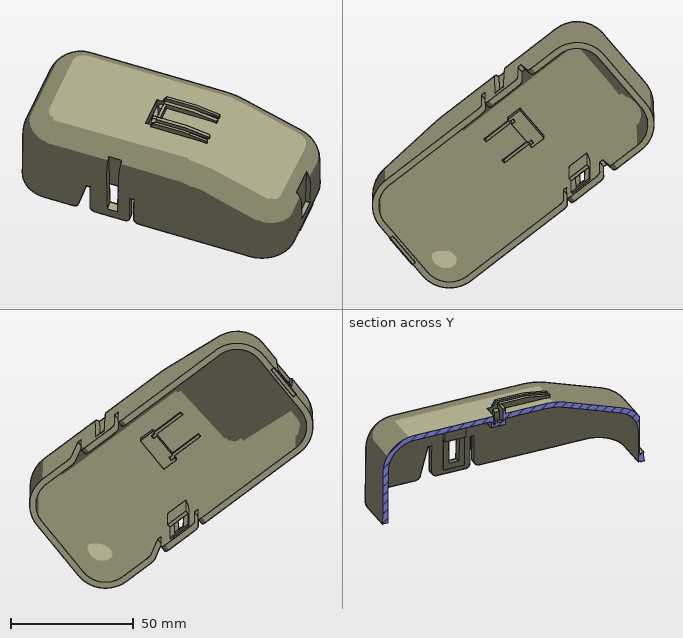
import cadquery as cq
import math

TOTAL_LENGTH = 117.5
TOTAL_WIDTH = 55.5
SHELL_HEIGHT = 38.8
LIP_PROJECTION = 0.2
EDGE_RADIUS = 14.0
WALL = 2.6
BEND_START_X = 72.7
ROOF_BEND_RADIUS = 29.0
SLOPE_ANGLE = 20.0
DRAFT_ANGLE = 0.4

HALF_WIDTH = TOTAL_WIDTH / 2
BODY_LENGTH = TOTAL_LENGTH - LIP_PROJECTION
SLOPE = math.radians(SLOPE_ANGLE)


def bend_point(inset, angle):
    """XZ point on the roof bend, moved in by the inset, at an angle from vertical."""
    radius = ROOF_BEND_RADIUS - inset
    center_z = SHELL_HEIGHT - ROOF_BEND_RADIUS
    return (BEND_START_X + radius * math.sin(angle), center_z + radius * math.cos(angle))


NOTCH_TOP_Z = 14.8
TAB_START_X = 33.7
TAB_END_X = 51.0
FRONT_NOTCH_TOP_X = 32.1
FRONT_NOTCH_BOTTOM_X = 28.2
REAR_NOTCH_END_X = 52.8
NOTCH_CORNER_RADIUS = 2.4
REAR_EDGE_LIFT = 0.2

SIDE_SLOT_X = 43.5
SIDE_SLOT_TOP_WIDTH = 5.5
SIDE_SLOT_BOTTOM_WIDTH = 4.3
SIDE_SLOT_DEPTH = 3.3
SLOT_SILL_Z = 4.2
SILL_RISE = 0.8
SIDE_SLOT_TOP_Z = 33.7
WINDOW_TOP_Z = 16.5
BACKING_DEPTH = 4.7
PAD_LENGTH = 9.4
PAD_BOTTOM_Z = 2.4
PAD_TOP_Z = 31.7

END_SLOT_TOP_WIDTH = 11.5
END_SLOT_BOTTOM_WIDTH = 8.9
END_SLOT_DEPTH = 2.0
END_SLOT_TOP_Z = 22.1
LIP_WIDTH = 14.6
LIP_THICKNESS = 1.6
LIP_HEIGHT = 0.4

RAIL_HEIGHT = 2.5
RAIL_ROOT = 1.2
OUTER_RAIL_START_X = 52.4
RAIL_TOP_START_X = 53.9
RAIL_SLOPE_X = 66.9
RAIL_END_X = 77.0
RAIL_END_HEIGHT = 0.8
OUTER_RAIL_Y = (6.6, 7.6)
INNER_RAIL_Y = (3.8, 5.2)
THROUGH_SLOT_X = (53.5, 68.6)
CROSS_WALL_END_X = 55.2
CROSS_WALL_DROP = 0.1
RECESS_START_X = 49.9
RECESS_DEPTH = 4.2
RECESS_WALL = 1.2
RECESS_BAR_WIDTH = 1.9
RECESS_BAR_START_X = 50.3
RECESS_BAR_DROP = 3.5
PEG_START_X = 51.7
PEG_INNER_Y = 2.9
PEG_DROP = 0.2
RAIL_TOP_Z = SHELL_HEIGHT + RAIL_HEIGHT
RAIL_ROOT_Z = SHELL_HEIGHT - RAIL_ROOT

SIDES = (-1, 1)


def box(x_range, y_range, z_range):
    """Axis-aligned box from its limits, given in either order."""
    lows = [min(limits) for limits in (x_range, y_range, z_range)]
    sizes = [abs(limits[1] - limits[0]) for limits in (x_range, y_range, z_range)]
    return cq.Workplane("XY").box(*sizes, centered=False).translate(tuple(lows))


def prism_y(profile, y_range):
    """Extrude a closed XZ profile between two Y positions."""
    return profile.extrude(-abs(y_range[1] - y_range[0])).translate((0, min(y_range), 0))


def rounded_body(inset):
    """Drafted block with a sloping rear, all its upper edges and corners rounded."""
    radius = EDGE_RADIUS - inset
    top_z = SHELL_HEIGHT - inset
    slope_start = bend_point(inset, SLOPE)
    slope_end_x = BODY_LENGTH + EDGE_RADIUS
    slope_end_z = slope_start[1] - (slope_end_x - slope_start[0]) * math.tan(SLOPE)
    block = (
        cq.Workplane("XY", origin=(BODY_LENGTH / 2, 0, 0))
        .rect(BODY_LENGTH - 2 * inset, TOTAL_WIDTH - 2 * inset)
        .extrude(2 * SHELL_HEIGHT, taper=DRAFT_ANGLE)
    )
    under_roof = (
        cq.Workplane("XZ")
        .moveTo(-EDGE_RADIUS, 0)
        .lineTo(-EDGE_RADIUS, top_z)
        .lineTo(BEND_START_X, top_z)
        .threePointArc(bend_point(inset, SLOPE / 2), slope_start)
        .lineTo(slope_end_x, slope_end_z)
        .lineTo(slope_end_x, 0)
        .close()
    )
    body = block.intersect(prism_y(under_roof, (-TOTAL_WIDTH, TOTAL_WIDTH)))
    return body.faces("<X or >X or <Y or >Y").edges("not <Z").fillet(radius)


def shell_with_pads():
    """Open-bottomed shell with pads around the side slots and backing behind their upper parts."""
    outer = rounded_body(0)
    shell = outer.cut(rounded_body(WALL))
    x_range = (SIDE_SLOT_X - PAD_LENGTH / 2, SIDE_SLOT_X + PAD_LENGTH / 2)
    for side in SIDES:
        outer_y = side * HALF_WIDTH
        pad = box(x_range, (side * (HALF_WIDTH - SIDE_SLOT_DEPTH), outer_y), (PAD_BOTTOM_Z, PAD_TOP_Z))
        backing = box(x_range, (side * (HALF_WIDTH - BACKING_DEPTH), outer_y), (WINDOW_TOP_Z, PAD_TOP_Z))
        pad = pad.union(backing)
        shell = shell.union(pad.intersect(outer))
    return shell


def notches():
    """Cutter for both notches and the raised rear edge, across the full width."""
    lower_edge = (
        cq.Workplane("XZ")
        .moveTo(FRONT_NOTCH_BOTTOM_X, 0)
        .lineTo(FRONT_NOTCH_TOP_X, NOTCH_TOP_Z)
        .lineTo(TAB_START_X, NOTCH_TOP_Z)
        .lineTo(TAB_START_X, 0)
        .lineTo(TAB_END_X, 0)
        .lineTo(TAB_END_X, NOTCH_TOP_Z)
        .lineTo(REAR_NOTCH_END_X, NOTCH_TOP_Z)
        .lineTo(REAR_NOTCH_END_X, REAR_EDGE_LIFT)
        .lineTo(TOTAL_LENGTH, REAR_EDGE_LIFT)
        .lineTo(TOTAL_LENGTH, -TOTAL_WIDTH)
        .lineTo(0, -TOTAL_WIDTH)
        .lineTo(0, 0)
        .close()
    )
    cutter = prism_y(lower_edge, (-HALF_WIDTH, HALF_WIDTH))
    for x, z in (
        (FRONT_NOTCH_BOTTOM_X, 0),
        (TAB_START_X, 0),
        (TAB_END_X, 0),
        (REAR_NOTCH_END_X, REAR_EDGE_LIFT),
    ):
        corner = cq.selectors.NearestToPointSelector((x, 0, z))
        cutter = cutter.edges("|Y").edges(corner).fillet(NOTCH_CORNER_RADIUS)
    return cutter


def tapered_outline(plane, center, bottom_width, top_width, top_z):
    """Trapezoid standing on the slot sill, wider at its top."""
    return plane.polyline(
        [
            (center - bottom_width / 2, SLOT_SILL_Z),
            (center + bottom_width / 2, SLOT_SILL_Z),
            (center + top_width / 2, top_z),
            (center - top_width / 2, top_z),
        ]
    ).close()


def side_slot(side):
    """Tapered pocket with a sill that rises inward; it breaks through below the backing."""
    outer_y = side * HALF_WIDTH
    pocket_y = side * (HALF_WIDTH - SIDE_SLOT_DEPTH)
    outline = tapered_outline(
        cq.Workplane("XZ"), SIDE_SLOT_X, SIDE_SLOT_BOTTOM_WIDTH, SIDE_SLOT_TOP_WIDTH, SIDE_SLOT_TOP_Z
    )
    above_sill = (
        cq.Workplane("YZ")
        .polyline(
            [
                (outer_y, SLOT_SILL_Z),
                (pocket_y, SLOT_SILL_Z + SILL_RISE),
                (pocket_y, SIDE_SLOT_TOP_Z),
                (outer_y, SIDE_SLOT_TOP_Z),
            ]
        )
        .close()
        .extrude(TOTAL_LENGTH)
    )
    return prism_y(outline, (outer_y, pocket_y)).intersect(above_sill)


def end_slot():
    """Blind tapered pocket in the rear end."""
    plane = cq.Workplane("YZ", origin=(BODY_LENGTH - END_SLOT_DEPTH, 0, 0))
    outline = tapered_outline(plane, 0, END_SLOT_BOTTOM_WIDTH, END_SLOT_TOP_WIDTH, END_SLOT_TOP_Z)
    return outline.extrude(END_SLOT_DEPTH)


def end_lip():
    """Thin lip under the rear end that reaches down to the base plane."""
    x_range = (TOTAL_LENGTH - LIP_THICKNESS, TOTAL_LENGTH)
    return box(x_range, (-LIP_WIDTH / 2, LIP_WIDTH / 2), (0, LIP_HEIGHT))


def rail(foot_x, y_range):
    """Rail with its front foot at foot_x and a top that falls toward the rear."""
    profile = (
        cq.Workplane("XZ")
        .polyline(
            [
                (foot_x, RAIL_ROOT_Z),
                (foot_x, SHELL_HEIGHT),
                (RAIL_TOP_START_X, RAIL_TOP_Z),
                (RAIL_SLOPE_X, RAIL_TOP_Z),
                (RAIL_END_X, SHELL_HEIGHT + RAIL_END_HEIGHT),
                (RAIL_END_X, RAIL_ROOT_Z),
            ]
        )
        .close()
    )
    return prism_y(profile, y_range)


def add_recess(body):
    """Deep recess ahead of the rails, in a tray below the roof, with a low bar and two pegs."""
    end_x = RAIL_TOP_START_X
    floor_z = SHELL_HEIGHT - RECESS_DEPTH
    half_width = OUTER_RAIL_Y[0]
    tray_half_width = half_width + RECESS_WALL
    tray_x = (RECESS_START_X - RECESS_WALL, CROSS_WALL_END_X)
    tray_z = (floor_z - RECESS_WALL, SHELL_HEIGHT)
    body = body.union(box(tray_x, (-tray_half_width, tray_half_width), tray_z))
    body = body.cut(box((RECESS_START_X, end_x), (-half_width, half_width), (floor_z, SHELL_HEIGHT)))
    bar_y = (-RECESS_BAR_WIDTH / 2, RECESS_BAR_WIDTH / 2)
    bar_z = (floor_z, SHELL_HEIGHT - RECESS_BAR_DROP)
    body = body.union(box((RECESS_BAR_START_X, end_x), bar_y, bar_z))
    for side in SIDES:
        peg_y = (side * PEG_INNER_Y, side * INNER_RAIL_Y[1])
        body = body.union(box((PEG_START_X, end_x), peg_y, (floor_z, SHELL_HEIGHT - PEG_DROP)))
    return body


def add_rails(body):
    """Rail pairs astride the through slots, the inner two joined by a cross wall."""
    cross_wall_x = (RAIL_TOP_START_X, CROSS_WALL_END_X)
    cross_wall_y = (-INNER_RAIL_Y[0], INNER_RAIL_Y[0])
    body = body.union(box(cross_wall_x, cross_wall_y, (RAIL_ROOT_Z, RAIL_TOP_Z - CROSS_WALL_DROP)))
    for side in SIDES:
        body = body.union(rail(OUTER_RAIL_START_X, [side * y for y in OUTER_RAIL_Y]))
        body = body.union(rail(RAIL_TOP_START_X, [side * y for y in INNER_RAIL_Y]))
        slot_y = (side * INNER_RAIL_Y[1], side * OUTER_RAIL_Y[0])
        body = body.cut(box(THROUGH_SLOT_X, slot_y, (SHELL_HEIGHT - EDGE_RADIUS, RAIL_TOP_Z)))
    return body


result = shell_with_pads().cut(notches())
for side in SIDES:
    result = result.cut(side_slot(side))
result = result.cut(end_slot()).union(end_lip())
result = add_recess(result)
result = add_rails(result)